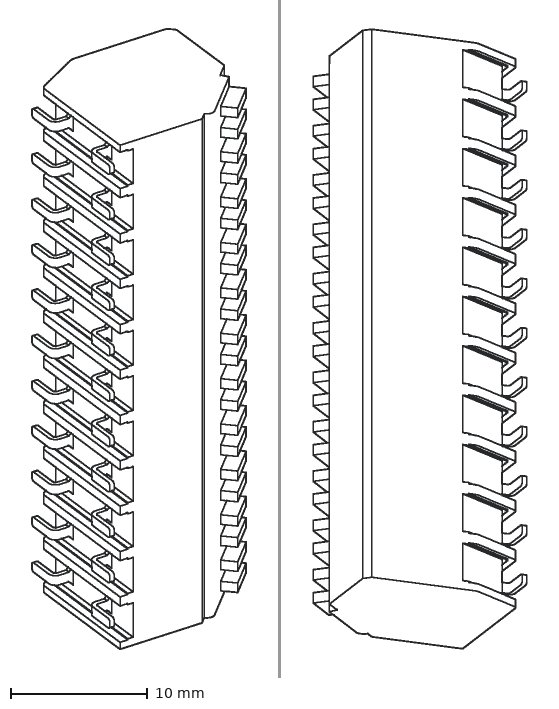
import cadquery as cq
import math


LENGTH = 42.3
WIDTH = 12.7
DEPTH = 12.95
BACK_CHAMFER = 0.5
BEVEL_WIDTH = 2.35
BEVEL_HEIGHT = BEVEL_WIDTH * math.tan(math.radians(60))
BEVEL_SIDE_ROUND = 1.0
BEVEL_FRONT_ROUND = 0.5

SLOPE_START_X = 8.5
SLOPE_START_Y = 12.3
SLOPE_END_X = 12.15
SLOPE_END_Y = SLOPE_START_Y - (SLOPE_END_X - SLOPE_START_X)
NOTCH_EDGE_X = 6.9
NOTCH_DEPTH = 1.05
LIP_BULGE = 0.2
LIP_HEIGHT = 0.95

POLES = 11
PITCH = 3.8
POCKET_HEIGHT = 3.05
POCKET_DEPTH = 1.15
LEDGE_DEPTH = 0.68
LEDGE_WIDTH = 0.1

PIN_CENTER_X = 7.1
PIN_INNER_REACH = 2.35
PIN_TIP_REACH = 5.2
PIN_THICKNESS = 0.4
PIN_WIDTH = 0.8
PIN_FRONT = 0.65
PIN_BEND_RADIUS = 0.6
PIN_TIP_ROUND = 0.25
PIN_ROOT_WIDTH = 1.6
PIN_EMBED = 0.42

BUTTON_LENGTH = 3.05
BUTTON_HEIGHT = 1.25
BUTTON_WIDTH = 0.8
BUTTON_OFFSET = 0.9
BUTTON_EMBED = 0.2

pole_heights = [PITCH * (i - (POLES - 1) / 2) for i in range(POLES)]


def make_housing():
    notch_x = NOTCH_EDGE_X + NOTCH_DEPTH
    lip_bottom_y = SLOPE_END_Y - LIP_HEIGHT
    side_top_y = lip_bottom_y - (WIDTH - SLOPE_END_X)
    outline = (
        cq.Workplane("XY")
        .workplane(offset=-LENGTH / 2)
        .moveTo(BEVEL_WIDTH, 0)
        .lineTo(WIDTH, 0)
        .lineTo(WIDTH, side_top_y)
        .lineTo(SLOPE_END_X, lip_bottom_y)
        .threePointArc((SLOPE_END_X + LIP_BULGE, SLOPE_END_Y - LIP_HEIGHT / 2), (SLOPE_END_X, SLOPE_END_Y))
        .lineTo(SLOPE_START_X, SLOPE_START_Y)
        .lineTo(notch_x, DEPTH - NOTCH_DEPTH)
        .lineTo(NOTCH_EDGE_X, DEPTH)
        .lineTo(BACK_CHAMFER, DEPTH)
        .lineTo(0, DEPTH - BACK_CHAMFER)
        .lineTo(0, BEVEL_HEIGHT)
        .close()
    )
    housing = outline.extrude(LENGTH)
    side_corner = cq.NearestToPointSelector((0, BEVEL_HEIGHT, 0))
    housing = housing.edges("|Z").edges(side_corner).fillet(BEVEL_SIDE_ROUND)
    front_corner = cq.NearestToPointSelector((BEVEL_WIDTH, 0, 0))
    return housing.edges("|Z").edges(front_corner).fillet(BEVEL_FRONT_ROUND)


def pocket_layer(depth, height):
    """Everything in front of the bevelled front outline once it is moved back by depth."""
    return (
        cq.Workplane("XY")
        .workplane(offset=-height / 2)
        .polyline([(0, 0), (WIDTH, 0), (WIDTH, depth), (BEVEL_WIDTH, depth), (0, BEVEL_HEIGHT + depth)])
        .close()
        .extrude(height)
    )


def make_pocket():
    mouth = pocket_layer(LEDGE_DEPTH, POCKET_HEIGHT)
    return mouth.union(pocket_layer(POCKET_DEPTH, POCKET_HEIGHT - 2 * LEDGE_WIDTH))


def make_right_pin():
    """L-shaped pin bent towards +X, with a root that widens into the pocket floor."""
    root_x = PIN_CENTER_X + PIN_INNER_REACH
    tip_x = PIN_CENTER_X + PIN_TIP_REACH
    back_y = POCKET_DEPTH + PIN_EMBED
    strip = (
        cq.Workplane("XY")
        .workplane(offset=-PIN_WIDTH / 2)
        .moveTo(root_x, back_y)
        .lineTo(root_x, PIN_BEND_RADIUS - PIN_FRONT)
        .radiusArc((root_x + PIN_BEND_RADIUS, -PIN_FRONT), -PIN_BEND_RADIUS)
        .lineTo(tip_x, -PIN_FRONT)
        .lineTo(tip_x, PIN_THICKNESS - PIN_FRONT)
        .lineTo(root_x + PIN_BEND_RADIUS, PIN_THICKNESS - PIN_FRONT)
        .radiusArc((root_x + PIN_THICKNESS, PIN_BEND_RADIUS - PIN_FRONT), PIN_BEND_RADIUS - PIN_THICKNESS)
        .lineTo(root_x + PIN_THICKNESS, back_y)
        .close()
        .extrude(PIN_WIDTH)
        .faces(">X")
        .edges("|Y")
        .fillet(PIN_TIP_ROUND)
    )
    flare = (PIN_ROOT_WIDTH - PIN_WIDTH) / 2
    root = (
        cq.Workplane("YZ")
        .workplane(offset=root_x)
        .polyline([
            (POCKET_DEPTH - flare, -PIN_WIDTH / 2),
            (POCKET_DEPTH, -PIN_ROOT_WIDTH / 2),
            (back_y, -PIN_ROOT_WIDTH / 2),
            (back_y, PIN_ROOT_WIDTH / 2),
            (POCKET_DEPTH, PIN_ROOT_WIDTH / 2),
            (POCKET_DEPTH - flare, PIN_WIDTH / 2),
        ])
        .close()
        .extrude(PIN_THICKNESS)
    )
    return strip.union(root)


def make_button():
    """Rectangular bar standing on the sloped face at the notch end."""
    return (
        cq.Workplane("XY")
        .box(BUTTON_LENGTH, BUTTON_HEIGHT + BUTTON_EMBED, BUTTON_WIDTH, centered=(False, False, True))
        .translate((0, -BUTTON_EMBED, 0))
        .rotate((0, 0, 0), (0, 0, 1), -45)
        .translate((SLOPE_START_X, SLOPE_START_Y, 0))
    )


def at_heights(shape, heights):
    return [shape.val().translate(cq.Vector(0, 0, z)) for z in heights]


pocket = make_pocket()
right_pin = make_right_pin()
left_pin = right_pin.mirror("YZ", (PIN_CENTER_X, 0, 0))
button_heights = [z + side * BUTTON_OFFSET for z in pole_heights for side in (-1, 1)]

body = make_housing().val().cut(*at_heights(pocket, pole_heights))
body = body.fuse(
    *at_heights(right_pin, pole_heights),
    *at_heights(left_pin, pole_heights),
    *at_heights(make_button(), button_heights),
)
result = cq.Workplane("XY").newObject([body.Solids()[0]])